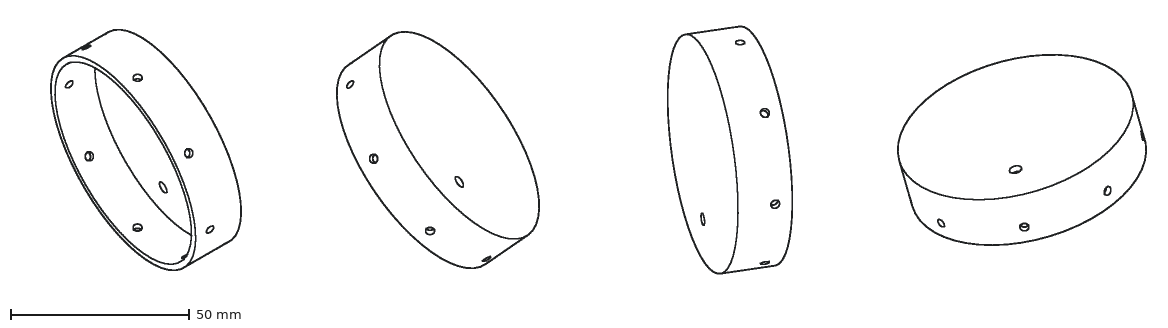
import cadquery as cq

outer_diameter = 68.0
depth = 16.0
wall = 2.0
floor_thickness = 2.0

radial_hole_count = 8
radial_hole_diameter = 2.5
radial_hole_from_rim = 5.0

floor_hole_diameter = 3.5
floor_hole_drop = 20.9

outer_radius = outer_diameter / 2
inner_radius = outer_radius - wall


def cylinder_along_y(radius, start_y, length):
    """Cylinder on the Y axis, running from start_y toward +Y."""
    return cq.Workplane(cq.Solid.makeCylinder(radius, length, cq.Vector(0, start_y, 0), cq.Vector(0, 1, 0)))


def radial_hole(angle):
    """Cutter from the axis out through the wall, turned about Y from +Z."""
    cutter = cq.Solid.makeCylinder(
        radial_hole_diameter / 2, outer_diameter, cq.Vector(0, radial_hole_from_rim, 0), cq.Vector(0, 0, 1)
    )
    return cq.Workplane(cutter.rotate(cq.Vector(0, 0, 0), cq.Vector(0, 1, 0), angle))


result = cylinder_along_y(outer_radius, 0, depth)
result = result.cut(cylinder_along_y(inner_radius, 0, depth - floor_thickness))

for index in range(radial_hole_count):
    result = result.cut(radial_hole(index * 360 / radial_hole_count))

floor_hole = cylinder_along_y(floor_hole_diameter / 2, 0, depth).translate((0, 0, -floor_hole_drop))
result = result.cut(floor_hole)